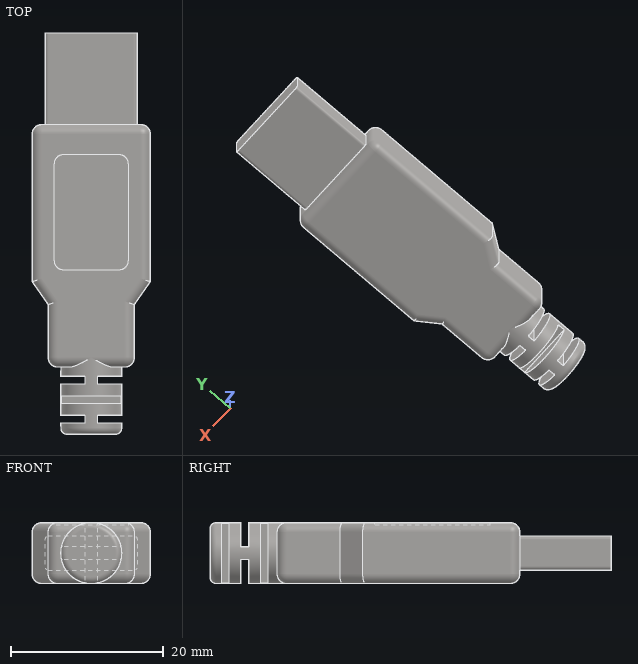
import cadquery as cq


plug_width = 12.1
plug_height = 4.5
plug_length = 12.0
plug_edge_radius = 0.5

grip_width = 15.5
grip_neck_width = 11.3
grip_height = 8.0
grip_length = 31.8
shoulder_start = 20.6
shoulder_length = 3.0
grip_edge_radius = 1.25

recess_width = 9.7
recess_length = 15.1
recess_depth = 0.3
recess_corner_radius = 1.2
recess_setback = 3.95

relief_diameter = grip_height
relief_length = 8.8
relief_end_radius = 0.8
slot_width = 1.0
slot_pitch = 2.55
slot_web = 1.7
last_slot_margin = 1.5
slot_count = 3

grip_top = grip_height / 2
grip_end_y = -grip_length
relief_end_y = grip_end_y - relief_length


def make_plug():
    """Rectangular shell outline with rounded long edges, rooted inside the grip."""
    root_depth = grip_edge_radius
    plug = cq.Workplane("XY").box(
        plug_width, plug_length + root_depth, plug_height, centered=(True, False, True)
    )
    return plug.edges("|Y").fillet(plug_edge_radius).translate((0, -root_depth, 0))


def make_grip():
    """Wide body that tapers at the shoulders to a narrower neck, with rounded edges."""
    half_width = grip_width / 2
    half_neck = grip_neck_width / 2
    shoulder_end = shoulder_start + shoulder_length
    outline = [
        (-half_width, 0),
        (half_width, 0),
        (half_width, -shoulder_start),
        (half_neck, -shoulder_end),
        (half_neck, grip_end_y),
        (-half_neck, grip_end_y),
        (-half_neck, -shoulder_end),
        (-half_width, -shoulder_start),
    ]
    grip = cq.Workplane("XY").polyline(outline).close().extrude(grip_top, both=True)
    return grip.faces("<Y or >Y or <Z or >Z").edges().fillet(grip_edge_radius)


def make_recess():
    """Rounded rectangular volume removed from the top of the grip."""
    recess = cq.Workplane("XY").box(recess_width, recess_length, recess_depth)
    recess = recess.edges("|Z").fillet(recess_corner_radius)
    center_y = -(recess_setback + recess_length / 2)
    return recess.translate((0, center_y, grip_top - recess_depth / 2))


def make_relief():
    """Round strain relief that runs into the grip and is rounded at its free end."""
    root_depth = 2 * grip_edge_radius
    relief = cq.Workplane("XZ", origin=(0, grip_end_y + root_depth, 0))
    relief = relief.circle(relief_diameter / 2).extrude(relief_length + root_depth)
    return relief.faces("<Y").edges().fillet(relief_end_radius)


def make_slot_pair(center_y, quarter_turn):
    """Two opposed slots that leave a web across the middle of the strain relief."""
    slot_depth = (relief_diameter - slot_web) / 2
    offset = (slot_web + slot_depth) / 2
    pair = (
        cq.Workplane("XY")
        .pushPoints([(-offset, center_y), (offset, center_y)])
        .box(slot_depth, slot_width, relief_diameter)
    )
    if quarter_turn:
        pair = pair.rotate((0, 0, 0), (0, 1, 0), 90)
    return pair


relief = make_relief()
for index in range(slot_count):
    slot_y = relief_end_y + last_slot_margin + slot_width / 2 + index * slot_pitch
    relief = relief.cut(make_slot_pair(slot_y, quarter_turn=index % 2 == 1))

result = make_grip().cut(make_recess()).union(make_plug()).union(relief)